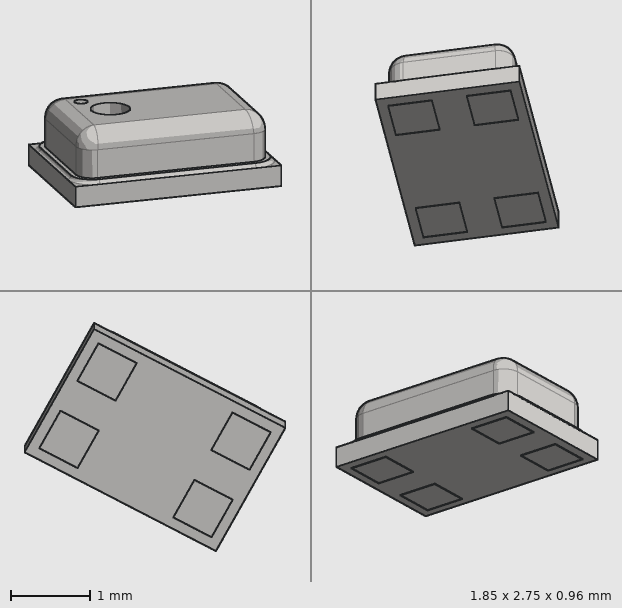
import cadquery as cq

board_width = 1.85
board_length = 2.75
board_height = 0.275

pad_height = 0.01
pad_width = 0.565
pad_length = 0.55
pad_inset = 0.138

lid_inset = 0.115
lid_corner_radius = 0.217
lid_top_fillet = 0.25
total_height = 0.96
bead_radius = 0.05
bead_corner_radius = lid_corner_radius + lid_inset

port_diameter = 0.5
port_y = -0.597
port_depth = 0.297
mark_diameter = 0.168
mark_x = -0.402
mark_y = -0.852
mark_depth = 0.003

board_bottom = pad_height
board_top = board_bottom + board_height


def rounded_block(inset, corner_radius, bottom, top):
    """Block set in from the board edges, with rounded upright corners."""
    return (
        cq.Workplane("XY", origin=(0, 0, bottom))
        .rect(board_width - 2 * inset, board_length - 2 * inset)
        .extrude(top - bottom)
        .edges("|Z")
        .fillet(corner_radius)
    )


def make_board():
    return (
        cq.Workplane("XY", origin=(0, 0, board_bottom))
        .rect(board_width, board_length)
        .extrude(board_height)
    )


def make_pads():
    spacing_x = board_width - 2 * pad_inset - pad_width
    spacing_y = board_length - 2 * pad_inset - pad_length
    return (
        cq.Workplane("XY")
        .rect(spacing_x, spacing_y, forConstruction=True)
        .vertices()
        .rect(pad_width, pad_length)
        .extrude(pad_height)
    )


def make_bead():
    """Solder bead whose outer side is a concave quarter round, running out at the board edge."""
    bead_top = board_top + bead_radius
    block = rounded_block(0, bead_corner_radius, board_top, bead_top)
    path = block.faces(">Z").wires().val()
    groove = (
        cq.Workplane("XZ", origin=(board_width / 2, 0, bead_top))
        .circle(bead_radius)
        .sweep(cq.Workplane(path))
    )
    return block.cut(groove)


def make_lid():
    lid = rounded_block(lid_inset, lid_corner_radius, board_top, total_height)
    return lid.faces(">Z").edges().fillet(lid_top_fillet)


def round_recess(x, y, diameter, depth):
    return cq.Workplane("XY", origin=(x, y, total_height - depth)).circle(diameter / 2).extrude(depth)


result = (
    make_board()
    .union(make_pads())
    .union(make_bead())
    .union(make_lid())
    .cut(round_recess(0, port_y, port_diameter, port_depth))
    .cut(round_recess(mark_x, mark_y, mark_diameter, mark_depth))
)